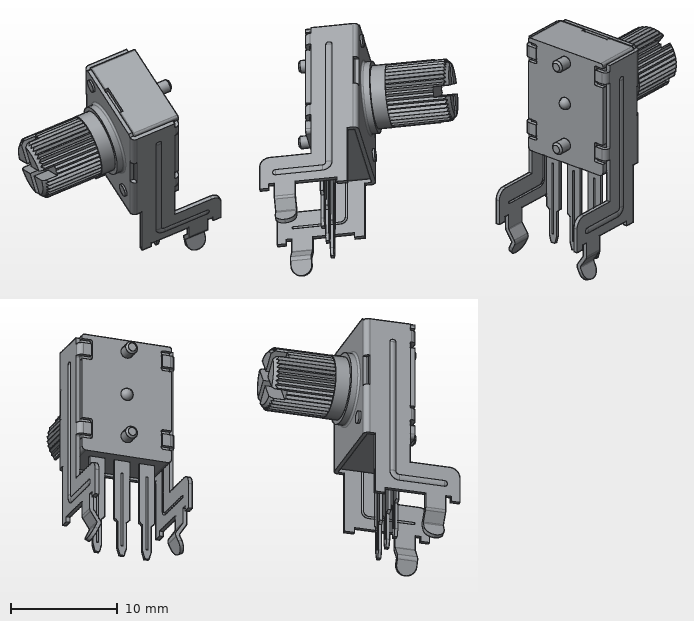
import cadquery as cq
import math


SHEET = 0.4
BEND_INNER = 0.1
BEND_OUTER = BEND_INNER + SHEET

HOUSING_HALF_WIDTH = 4.51
HOUSING_TOP = 5.5
HOUSING_BOTTOM = -6.28
HOUSING_BACK = 5.1
BOTTOM_EDGE_RADIUS = 0.4
PEG_DIAMETER = 1.2
PEG_LENGTH = 1.4
PEG_CHAMFER = 0.2
PEG_OFFSET_Z = 4.3
HOOK_WIDTH = 3.0
HOOK_POCKET_DEPTH = 0.5

COVER_HALF_WIDTH = HOUSING_HALF_WIDTH + SHEET
COVER_SIDE_TOP = 5.25
COVER_BOTTOM = -6.5
TOP_CORNER_CHAMFER = HOUSING_TOP - COVER_SIDE_TOP
COLLAR_DIAMETER = 6.8
COLLAR_LENGTH = 0.8
COLLAR_FILLET = 0.2
BUMP_DIAMETER = 1.2
BUMP_HEIGHT = 0.2
BUMP_OFFSET_X = 3.25
BUMP_OFFSET_Z = 4.3

LEG_FRONT = 1.05
LEG_BACK = 4.51
FOOT_BACK = 9.4
FOOT_TOP = -9.0
FOOT_CORNER_RADIUS = 1.0
FOOT_BOTTOM = -12.0
HEEL_BOTTOM = -12.5
FRONT_HEEL_BACK = 2.03
BACK_HEEL_FRONT = 8.55

TAB_FRONT = 6.02
TAB_WIDTH = 1.98
TAB_BEND_Z = -13.6
TAB_ELBOW_RISE = 1.13
TAB_TIP_RISE = 1.4
TAB_IN_ANGLE = 34
TAB_OUT_ANGLE = 26
TAB_TIP_RADIUS = 0.98

BEAD_HEIGHT = 0.098
BEAD_Y = 2.8
BEAD_TOP = 3.15
BEAD_Z = -10.75
BEAD_BACK = 7.85
BEAD_CORNER_RADIUS = 0.6

CLAW_OFFSET_Z = 4.01
CLAW_HEIGHT = 1.2
CLAW_REACH = 1.3
CLAW_ROOT_RADIUS = 0.09
CLAW_POCKET_HEIGHT = 2.0
CLAW_POCKET_CLEARANCE = 0.1
CLAW_POCKET_RADIUS = 0.2

SHAFT_DIAMETER = 6.0
SHAFT_TIP = -8.2
SHAFT_CHAMFER = 0.5
KNURL_START = -2.2
KNURL_COUNT = 40
KNURL_RIDGE_RADIUS = 2.99
KNURL_GROOVE_RADIUS = 2.75
CROSS_WIDTH = 1.0
CROSS_DEPTH = 1.5
CROSS_ANGLE = 36

PIN_COUNT = 3
PIN_PITCH = 2.5
PIN_FRONT = 3.6
PIN_THICKNESS = 0.3
PIN_HALF_WIDTH = 0.76
PIN_NECK_HALF_WIDTH = 0.44
PIN_TIP_HALF_WIDTH = 0.22
PIN_SHOULDER = -12.2
PIN_NECK_TOP = -12.5
PIN_TAPER = -15.13
PIN_TIP = -15.87
PIN_GROOVE_TOP = -7.52
PIN_GROOVE_BOTTOM = -14.95
PIN_GROOVE_RADIUS = 0.1
PIN_GROOVE_END_RADIUS = 0.09
PIN_GROOVE_DEPTH = 0.07


def block(x_range, y_range, z_range):
    """Box between two limits on each axis."""
    lows, highs = zip(x_range, y_range, z_range)
    sizes = [high - low for low, high in zip(lows, highs)]
    return cq.Workplane("XY").box(*sizes, centered=False).translate(lows)


def rod(diameter, y_start, y_end, x=0, z=0):
    """Cylinder along Y."""
    return cq.Workplane(
        cq.Solid.makeCylinder(diameter / 2, y_end - y_start, cq.Vector(x, y_start, z), cq.Vector(0, 1, 0))
    )


def both_sides(right_half):
    """A shape at +X together with its mirror image at -X."""
    return right_half.union(right_half.mirror("YZ"))



def claw_pockets():
    """Pockets in the back of the housing, open to the sides, for the claws."""
    inner_x = COVER_HALF_WIDTH - CLAW_REACH - CLAW_POCKET_CLEARANCE
    floor_y = HOUSING_BACK - SHEET
    pockets = cq.Workplane("XY")
    for z in (-CLAW_OFFSET_Z, CLAW_OFFSET_Z):
        z_range = (z - CLAW_POCKET_HEIGHT / 2, z + CLAW_POCKET_HEIGHT / 2)
        pocket = block((inner_x, COVER_HALF_WIDTH), (floor_y, HOUSING_BACK), z_range)
        pocket = pocket.edges("|Y and <X").fillet(CLAW_POCKET_RADIUS)
        relief = block(
            (HOUSING_HALF_WIDTH - BEND_INNER, HOUSING_HALF_WIDTH), (floor_y - BEND_INNER, floor_y), z_range
        )
        bend_core = cq.Workplane(
            cq.Solid.makeCylinder(
                BEND_INNER,
                CLAW_POCKET_HEIGHT,
                cq.Vector(HOUSING_HALF_WIDTH - BEND_INNER, floor_y - BEND_INNER, z_range[0]),
            )
        )
        pockets = pockets.add(pocket).add(relief.cut(bend_core))
    return both_sides(pockets.combine())


def make_housing():
    body = block(
        (-HOUSING_HALF_WIDTH, HOUSING_HALF_WIDTH), (SHEET, HOUSING_BACK), (HOUSING_BOTTOM, HOUSING_TOP)
    )
    body = body.edges("|Y and >Z").fillet(HOUSING_TOP - COVER_SIDE_TOP)
    body = body.edges("|Y and <Z").fillet(BOTTOM_EDGE_RADIUS)
    body = body.faces("<Y").edges().fillet(BEND_INNER)
    hook_pocket = block(
        (-HOOK_WIDTH / 2, HOOK_WIDTH / 2), (SHEET, 2 * SHEET), (HOUSING_TOP - HOOK_POCKET_DEPTH, HOUSING_TOP)
    )
    body = body.cut(hook_pocket).cut(claw_pockets())
    for z in (-PEG_OFFSET_Z, PEG_OFFSET_Z):
        peg = rod(PEG_DIAMETER, HOUSING_BACK - SHEET, HOUSING_BACK + PEG_LENGTH, z=z)
        body = body.union(peg.faces(">Y").chamfer(PEG_CHAMFER))
    dome = cq.Workplane("XY").sphere(PEG_DIAMETER / 2).translate((0, HOUSING_BACK, 0))
    return body.union(dome)



def front_channel():
    """Front plate with the two bends that lead into the legs."""
    z_range = (COVER_BOTTOM, COVER_SIDE_TOP)
    outside = block((-COVER_HALF_WIDTH, COVER_HALF_WIDTH), (0, LEG_FRONT), z_range)
    inside = block((-HOUSING_HALF_WIDTH, HOUSING_HALF_WIDTH), (SHEET, LEG_FRONT), z_range)
    channel = outside.edges("|Z and <Y").fillet(BEND_OUTER).cut(inside.edges("|Z and <Y").fillet(BEND_INNER))
    bend_x = COVER_HALF_WIDTH - BEND_OUTER
    tongue = block((-bend_x, bend_x), (0, SHEET), (COVER_BOTTOM, HOUSING_TOP))
    channel = channel.union(tongue.edges("|Y and >Z").chamfer(TOP_CORNER_CHAMFER))
    window = block((bend_x, COVER_HALF_WIDTH), (0, BEND_OUTER), (-HOOK_WIDTH / 2, HOOK_WIDTH / 2))
    return channel.cut(both_sides(window))


def collar_and_bumps():
    """Collar around the shaft, flared where it meets the plate, and two round bumps."""
    radius = COLLAR_DIAMETER / 2
    flare = radius + COLLAR_FILLET
    blend = COLLAR_FILLET * (1 - math.sqrt(0.5))
    collar = (
        cq.Workplane("XY")
        .moveTo(0, SHEET)
        .lineTo(flare, SHEET)
        .lineTo(flare, 0)
        .threePointArc((radius + blend, -blend), (radius, -COLLAR_FILLET))
        .lineTo(radius, -COLLAR_LENGTH)
        .lineTo(0, -COLLAR_LENGTH)
        .close()
        .revolve(360, (0, 0, 0), (0, 1, 0))
    )
    for side in (-1, 1):
        bump = rod(BUMP_DIAMETER, -BUMP_HEIGHT, SHEET, side * BUMP_OFFSET_X, -side * BUMP_OFFSET_Z)
        collar = collar.union(bump)
    return collar


def leg_plate():
    """Flat part of the leg at +X, with its foot and two heels."""
    outline = [
        (LEG_FRONT, COVER_SIDE_TOP),
        (LEG_BACK, COVER_SIDE_TOP),
        (LEG_BACK, FOOT_TOP),
        (FOOT_BACK, FOOT_TOP),
        (FOOT_BACK, HEEL_BOTTOM),
        (BACK_HEEL_FRONT, HEEL_BOTTOM),
        (BACK_HEEL_FRONT, FOOT_BOTTOM),
        (FRONT_HEEL_BACK, FOOT_BOTTOM),
        (FRONT_HEEL_BACK, HEEL_BOTTOM),
        (LEG_FRONT, HEEL_BOTTOM),
    ]
    plate = cq.Workplane("YZ", origin=(HOUSING_HALF_WIDTH, 0, 0)).polyline(outline).close().extrude(SHEET)
    foot_corner = cq.selectors.NearestToPointSelector((COVER_HALF_WIDTH, FOOT_BACK, FOOT_TOP))
    return plate.edges("|X").edges(foot_corner).fillet(FOOT_CORNER_RADIUS)


def snap_tab():
    """Tab below the foot at +X: it bends inward, then outward, and ends round."""
    angle_in = math.radians(TAB_IN_ANGLE)
    angle_out = math.radians(TAB_OUT_ANGLE)
    elbow_x = COVER_HALF_WIDTH - TAB_ELBOW_RISE * math.tan(angle_in)
    elbow_z = TAB_BEND_Z - TAB_ELBOW_RISE
    tip_x = elbow_x + TAB_TIP_RISE * math.tan(angle_out)
    tip_z = elbow_z - TAB_TIP_RISE
    inner_bend_z = TAB_BEND_Z + SHEET * math.tan(angle_in / 2)
    mitre = (angle_out - angle_in) / 2
    mitre_length = SHEET / math.cos((angle_in + angle_out) / 2)
    outline = [
        (COVER_HALF_WIDTH, FOOT_BOTTOM),
        (COVER_HALF_WIDTH, TAB_BEND_Z),
        (elbow_x, elbow_z),
        (tip_x, tip_z),
        (tip_x - SHEET * math.cos(angle_out), tip_z - SHEET * math.sin(angle_out)),
        (elbow_x - mitre_length * math.cos(mitre), elbow_z - mitre_length * math.sin(mitre)),
        (HOUSING_HALF_WIDTH, inner_bend_z),
        (HOUSING_HALF_WIDTH, FOOT_BOTTOM),
    ]
    strip = cq.Workplane("XZ", origin=(0, TAB_FRONT, 0)).polyline(outline).close().extrude(-TAB_WIDTH)

    def corner(index):
        x, z = outline[index]
        return cq.selectors.NearestToPointSelector((x, TAB_FRONT + TAB_WIDTH / 2, z))

    for outer_corner in (1, 5):
        strip = strip.edges("|Y").edges(corner(outer_corner)).fillet(BEND_OUTER)
    for inner_corner in (2, 6):
        strip = strip.edges("|Y").edges(corner(inner_corner)).fillet(BEND_INNER)
    tip_edges = cq.selectors.ParallelDirSelector(cq.Vector(math.cos(angle_out), 0, math.sin(angle_out)))
    return strip.edges(tip_edges).edges("<Z").fillet(TAB_TIP_RADIUS)


def bead_core(radius):
    """Round bar with ball ends along the bead's L-shaped path, centred under the leg's outer face."""
    x = COVER_HALF_WIDTH + BEAD_HEIGHT - BEND_OUTER
    corner_y = BEAD_Y + BEAD_CORNER_RADIUS
    corner_z = BEAD_Z + BEAD_CORNER_RADIUS
    inset = BEAD_CORNER_RADIUS * (1 - math.sqrt(0.5))
    path = (
        cq.Workplane("YZ", origin=(x, 0, 0))
        .moveTo(BEAD_Y, BEAD_TOP)
        .lineTo(BEAD_Y, corner_z)
        .threePointArc((BEAD_Y + inset, BEAD_Z + inset), (corner_y, BEAD_Z))
        .lineTo(BEAD_BACK, BEAD_Z)
    )
    bar = cq.Workplane("XY", origin=(x, BEAD_Y, BEAD_TOP)).circle(radius).sweep(path)
    for y, z in ((BEAD_Y, BEAD_TOP), (BEAD_BACK, BEAD_Z)):
        bar = bar.union(cq.Workplane("XY").sphere(radius).translate((x, y, z)))
    return bar


def claw(z):
    """Claw at +X that folds over the back of the housing."""
    inner_x = COVER_HALF_WIDTH - CLAW_REACH
    z_range = (z - CLAW_HEIGHT / 2, z + CLAW_HEIGHT / 2)
    outside = block((inner_x, COVER_HALF_WIDTH), (LEG_BACK, HOUSING_BACK), z_range)
    inside = block((inner_x, HOUSING_HALF_WIDTH), (LEG_BACK, HOUSING_BACK - SHEET), z_range)
    return outside.edges("|Z and >X and >Y").fillet(BEND_OUTER).cut(
        inside.edges("|Z and >X and >Y").fillet(BEND_INNER)
    )


def make_leg():
    """Complete leg at +X."""
    leg = leg_plate().union(snap_tab())
    for z in (-CLAW_OFFSET_Z, CLAW_OFFSET_Z):
        leg = leg.union(claw(z))
        for edge_z in (z - CLAW_HEIGHT / 2, z + CLAW_HEIGHT / 2):
            root = cq.selectors.NearestToPointSelector((HOUSING_HALF_WIDTH + SHEET / 2, LEG_BACK, edge_z))
            leg = leg.edges("|X").edges(root).fillet(CLAW_ROOT_RADIUS)
    outer_half = block(
        (COVER_HALF_WIDTH - SHEET / 2, COVER_HALF_WIDTH + BEAD_HEIGHT),
        (LEG_FRONT, FOOT_BACK),
        (FOOT_BOTTOM, COVER_SIDE_TOP),
    )
    return leg.union(bead_core(BEND_OUTER).intersect(outer_half)).cut(bead_core(BEND_INNER))


def make_cover():
    cover = front_channel().union(collar_and_bumps()).union(both_sides(make_leg()))
    return cover.cut(rod(SHAFT_DIAMETER, -COLLAR_LENGTH, SHEET))



def knurled_bar():
    """Bar with a star-shaped section: sharp ridges with V grooves between them."""
    half_pitch = math.pi / KNURL_COUNT
    star = []
    for index in range(2 * KNURL_COUNT):
        radius = KNURL_RIDGE_RADIUS if index % 2 else KNURL_GROOVE_RADIUS
        star.append((radius * math.cos(index * half_pitch), radius * math.sin(index * half_pitch)))
    return cq.Workplane("XZ", origin=(0, KNURL_START, 0)).polyline(star).close().extrude(KNURL_START - SHAFT_TIP)


def make_shaft():
    tip = rod(SHAFT_DIAMETER, SHAFT_TIP, KNURL_START).faces("<Y").chamfer(SHAFT_CHAMFER)
    shaft = rod(SHAFT_DIAMETER, KNURL_START, SHEET).union(tip.intersect(knurled_bar()))
    reach = SHAFT_DIAMETER / 2
    slot = block(
        (-reach, reach), (SHAFT_TIP, SHAFT_TIP + CROSS_DEPTH), (-CROSS_WIDTH / 2, CROSS_WIDTH / 2)
    )
    for angle in (CROSS_ANGLE, CROSS_ANGLE + 90):
        shaft = shaft.cut(slot.rotate((0, 0, 0), (0, -1, 0), angle))
    return shaft



def make_pin(x):
    """Flat stepped pin with a pressed groove: a channel in front and a ridge behind."""
    right_edge = [
        (PIN_HALF_WIDTH, HOUSING_BOTTOM),
        (PIN_HALF_WIDTH, PIN_SHOULDER),
        (PIN_NECK_HALF_WIDTH, PIN_NECK_TOP),
        (PIN_NECK_HALF_WIDTH, PIN_TAPER),
        (PIN_TIP_HALF_WIDTH, PIN_TIP),
    ]
    left_edge = [(-half_width, z) for half_width, z in reversed(right_edge)]
    pin = (
        cq.Workplane("XZ", origin=(0, PIN_FRONT, 0))
        .polyline(right_edge + left_edge)
        .close()
        .extrude(-PIN_THICKNESS)
    )
    groove_axis_y = PIN_FRONT + PIN_GROOVE_DEPTH - PIN_GROOVE_RADIUS
    groove = (
        cq.Workplane("XY", origin=(0, groove_axis_y, PIN_GROOVE_BOTTOM))
        .circle(PIN_GROOVE_RADIUS)
        .extrude(PIN_GROOVE_TOP - PIN_GROOVE_BOTTOM)
        .faces("<Z or >Z")
        .fillet(PIN_GROOVE_END_RADIUS)
    )
    ridge = groove.translate((0, PIN_THICKNESS, 0))
    return pin.cut(groove).union(ridge).translate((x, 0, 0))


housing = make_housing()
cover = make_cover()
shaft = make_shaft()
pins = [make_pin((index - (PIN_COUNT - 1) / 2) * PIN_PITCH) for index in range(PIN_COUNT)]

result = cq.Compound.makeCompound([housing.val(), cover.val(), shaft.val(), *[pin.val() for pin in pins]])